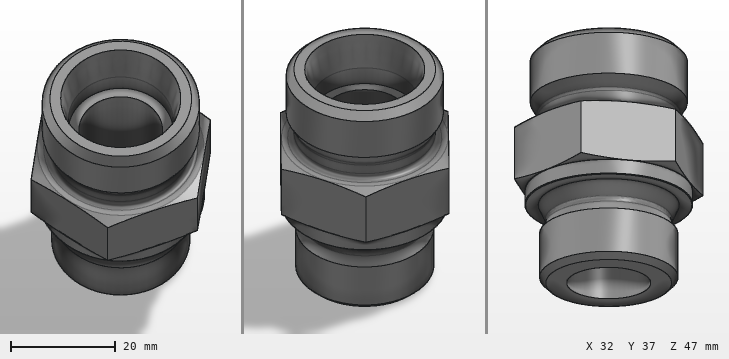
import cadquery as cq
import math

lower_thread_end = 10.1
lower_neck_height = 12.5
collar_bottom = 16.0
hex_bottom = 19.0
hex_top = 31.0
upper_neck_height = 34.5
total_length = 47.0

lower_thread_diameter = 26.41
upper_thread_diameter = 30.0
upper_neck_diameter = 27.0
collar_diameter = 32.0
hex_across_flats = 32.0

lower_end_chamfer = 1.2
upper_end_chamfer = 1.5
collar_edge_chamfer = 0.15
groove_fillet = 1.2
thread_runout_angle = 30.0
lower_relief_angle = 25.0
hex_chamfer_angle = 15.0
hex_chamfer_diameter = 31.8

through_bore_diameter = 16.0
socket_diameter = 20.0
socket_depth = 10.5
seat_mouth_diameter = 22.9
seat_half_angle = 12.0


def slope(angle):
    return math.tan(math.radians(angle))


def revolve_profile(points):
    """Revolve a closed (radius, height) outline around the Z axis."""
    return cq.Workplane("XZ").polyline(points).close().revolve(360, (0, 0, 0), (0, 1, 0))


def fillet_ring(body, height, radius):
    """Round the circular edges lying at one height."""
    tolerance = 0.01
    ring = cq.selectors.BoxSelector(
        (-tolerance, -tolerance, height - tolerance),
        (tolerance, tolerance, height + tolerance),
    )
    return body.edges(ring).fillet(radius)


def make_lower_stud():
    """Lower thread, V-shaped relief groove and sealing collar."""
    thread_radius = lower_thread_diameter / 2
    collar_radius = collar_diameter / 2
    neck_radius = thread_radius - (lower_neck_height - lower_thread_end) * slope(thread_runout_angle)
    relief_radius = neck_radius + (collar_bottom - lower_neck_height) * slope(lower_relief_angle)
    stud = revolve_profile([
        (0, 0),
        (thread_radius - lower_end_chamfer, 0),
        (thread_radius, lower_end_chamfer),
        (thread_radius, lower_thread_end),
        (neck_radius, lower_neck_height),
        (relief_radius, collar_bottom),
        (collar_radius - collar_edge_chamfer, collar_bottom),
        (collar_radius, collar_bottom + collar_edge_chamfer),
        (collar_radius, hex_bottom),
        (0, hex_bottom),
    ])
    return fillet_ring(stud, lower_neck_height, groove_fillet)


def make_hexagon():
    """Hexagon with flats facing +X and -X, corners chamfered at both ends."""
    corner_diameter = hex_across_flats / math.cos(math.radians(30))
    hexagon = (
        cq.Workplane("XY", origin=(0, 0, hex_bottom))
        .polygon(6, corner_diameter)
        .extrude(hex_top - hex_bottom)
        .rotate((0, 0, 0), (0, 0, 1), 30)
    )
    face_radius = hex_chamfer_diameter / 2
    outside_radius = corner_diameter
    chamfer_drop = (outside_radius - face_radius) * slope(hex_chamfer_angle)
    envelope = revolve_profile([
        (0, hex_bottom),
        (face_radius, hex_bottom),
        (outside_radius, hex_bottom + chamfer_drop),
        (outside_radius, hex_top - chamfer_drop),
        (face_radius, hex_top),
        (0, hex_top),
    ])
    return hexagon.intersect(envelope)


def make_upper_stud():
    """Upper thread with its run-out cone and cylindrical neck."""
    thread_radius = upper_thread_diameter / 2
    neck_radius = upper_neck_diameter / 2
    thread_start = upper_neck_height + (thread_radius - neck_radius) / slope(thread_runout_angle)
    stud = revolve_profile([
        (0, hex_top),
        (neck_radius, hex_top),
        (neck_radius, upper_neck_height),
        (thread_radius, thread_start),
        (thread_radius, total_length - upper_end_chamfer),
        (thread_radius - upper_end_chamfer, total_length),
        (0, total_length),
    ])
    return fillet_ring(stud, upper_neck_height, groove_fillet)


def make_neck_root():
    """Concave fillet blending the upper neck into the top of the hexagon."""
    neck_radius = upper_neck_diameter / 2
    arc_center_radius = neck_radius + groove_fillet
    arc_center_height = hex_top + groove_fillet
    arc_reach = groove_fillet * math.sqrt(0.5)
    return (
        cq.Workplane("XZ")
        .moveTo(0, hex_top)
        .lineTo(arc_center_radius, hex_top)
        .threePointArc(
            (arc_center_radius - arc_reach, arc_center_height - arc_reach),
            (neck_radius, arc_center_height),
        )
        .lineTo(0, arc_center_height)
        .close()
        .revolve(360, (0, 0, 0), (0, 1, 0))
    )


def make_bore():
    """Through bore, tube socket and conical seat opening at the upper end."""
    bore_radius = through_bore_diameter / 2
    socket_radius = socket_diameter / 2
    mouth_radius = seat_mouth_diameter / 2
    socket_floor = total_length - socket_depth
    seat_bottom = total_length - (mouth_radius - socket_radius) / slope(seat_half_angle)
    return revolve_profile([
        (0, 0),
        (bore_radius, 0),
        (bore_radius, socket_floor),
        (socket_radius, socket_floor),
        (socket_radius, seat_bottom),
        (mouth_radius, total_length),
        (0, total_length),
    ])


outer_body = make_lower_stud().union(make_hexagon()).union(make_neck_root()).union(make_upper_stud())
result = outer_body.cut(make_bore())